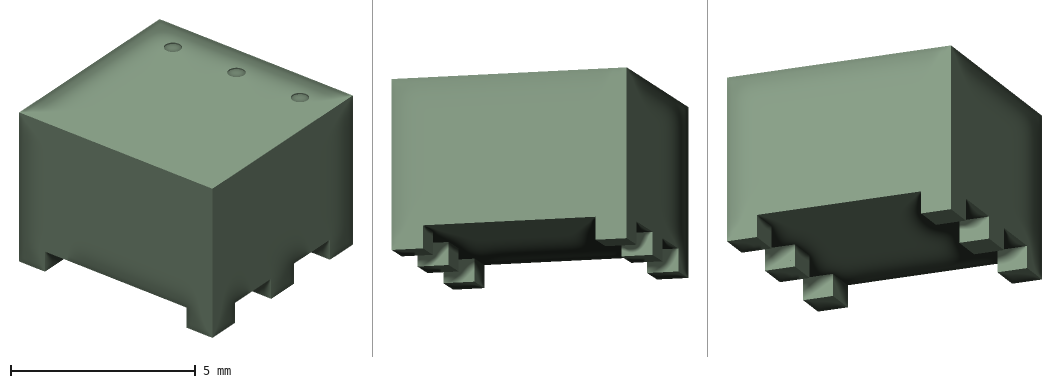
import cadquery as cq

length = 6.6
depth = 6.22
height = 4.7

foot_length = 0.88
foot_width = 1.01
standoff = 0.635
pad_thickness = 0.2

recess_diameter = 0.495
recess_depth = 0.04
recess_pitch = 2.17
recess_row_shift = 0.065
recess_back_inset = 0.96

housing_height = height - standoff
foot_height = standoff - pad_thickness

foot_x = (length - foot_length) / 2
foot_pitch = (depth - foot_width) / 2
foot_centres = [(side * foot_x, row * foot_pitch) for side in (-1, 1) for row in (-1, 0, 1)]

recess_y = depth / 2 - recess_back_inset
recess_centres = [(recess_row_shift + i * recess_pitch, recess_y) for i in (-1, 0, 1)]


def make_housing():
    """Block on six feet, with a row of shallow round recesses in its top."""
    block = cq.Workplane("XY").workplane(offset=standoff).rect(length, depth).extrude(housing_height)
    feet = (
        cq.Workplane("XY")
        .workplane(offset=pad_thickness)
        .pushPoints(foot_centres)
        .rect(foot_length, foot_width)
        .extrude(foot_height)
    )
    recesses = (
        cq.Workplane("XY")
        .workplane(offset=height - recess_depth)
        .pushPoints(recess_centres)
        .circle(recess_diameter / 2)
        .extrude(recess_depth)
    )
    return block.union(feet).cut(recesses)


def make_pad(x, y):
    """Flat pad flush with the outline of the foot above it."""
    return cq.Workplane("XY").center(x, y).rect(foot_length, foot_width).extrude(pad_thickness)


housing = make_housing()
pads = [make_pad(x, y) for x, y in foot_centres]

result = cq.Compound.makeCompound([housing.val(), *[pad.val() for pad in pads]])